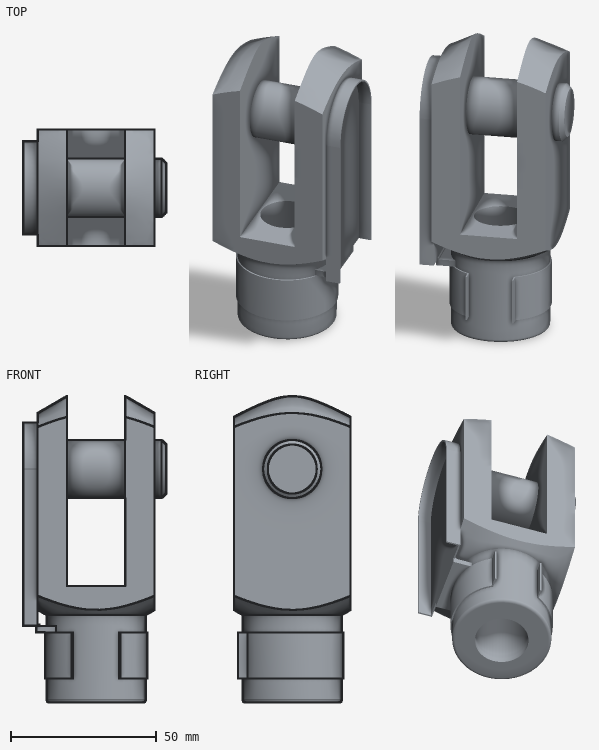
import cadquery as cq
import math

total_height = 105.0
body_width = 40.0
slot_width = 20.0
slot_floor_z = 40.0
cone_angle = math.radians(30)

neck_diameter = 34.0
neck_height = 30.0
neck_edge_fillet = 1.0
bore_diameter = 18.4

pin_diameter = 20.0
pin_z = 80.0
pin_end_x = 24.0
pin_chamfer = 1.6

sheet = 0.5
cover_width = 32.0
cover_outer_x = -25.0
cover_bottom_z = 26.2
tongue_width = 20.0
tongue_inner_x = -13.6
band_bottom_z = 8.2
band_top_z = 24.0
band_gap = 15.8
lug_tip_y = -18.6

half_body = body_width / 2
neck_radius = neck_diameter / 2
cover_depth = -half_body - cover_outer_x


def make_body():
    """Square fork trimmed by a coaxial turned profile, then slotted and bored."""
    slope = math.tan(cone_angle)
    rim_radius = body_width
    top_radius = slot_width / 2
    lower_rim_z = neck_height + (rim_radius - neck_radius) * slope
    upper_rim_z = total_height - (rim_radius - top_radius) * slope
    turned = (
        cq.Workplane("XZ")
        .moveTo(0, 0)
        .lineTo(neck_radius - neck_edge_fillet, 0)
        .radiusArc((neck_radius, neck_edge_fillet), -neck_edge_fillet)
        .lineTo(neck_radius, neck_height)
        .lineTo(rim_radius, lower_rim_z)
        .lineTo(rim_radius, upper_rim_z)
        .lineTo(top_radius, total_height)
        .lineTo(0, total_height)
        .close()
        .revolve(360, (0, 0, 0), (0, 1, 0))
    )
    square = cq.Workplane("XY").rect(body_width, body_width).extrude(total_height)
    slot = (
        cq.Workplane("XY", origin=(0, 0, slot_floor_z))
        .rect(slot_width, body_width)
        .extrude(total_height - slot_floor_z)
    )
    bore = cq.Workplane("XY").circle(bore_diameter / 2).extrude(slot_floor_z)
    return square.intersect(turned).cut(slot).cut(bore)


def make_pin():
    """Pin through both fork arms, chamfered at its free end."""
    return (
        cq.Workplane("YZ", origin=(-half_body, 0, pin_z))
        .circle(pin_diameter / 2)
        .extrude(pin_end_x + half_body)
        .faces(">X")
        .chamfer(pin_chamfer)
    )


def arched_plate(x, radius, depth):
    """Plate with a round top about the pin axis, extruded toward -X from x."""
    return (
        cq.Workplane("YZ", origin=(x, 0, 0))
        .moveTo(-radius, cover_bottom_z)
        .lineTo(-radius, pin_z)
        .threePointArc((0, pin_z + radius), (radius, pin_z))
        .lineTo(radius, cover_bottom_z)
        .close()
        .extrude(-depth)
    )


def make_cover():
    """Thin cover with an outward rim on its sides and top, and a tongue to the neck."""
    outer_radius = cover_width / 2
    outer = arched_plate(-half_body, outer_radius, cover_depth)
    recess = arched_plate(-half_body - sheet, outer_radius - sheet, cover_depth - sheet)
    tongue_length = half_body + sheet + tongue_inner_x
    tongue = (
        cq.Workplane("XY", origin=(tongue_inner_x - tongue_length / 2, 0, band_top_z))
        .rect(tongue_length, tongue_width)
        .extrude(cover_bottom_z - band_top_z)
    )
    joint = (
        cq.Workplane("XY", origin=(-half_body, 0, band_top_z))
        .rect(2 * sheet, tongue_width)
        .extrude(cover_bottom_z - band_top_z + sheet)
    )
    return outer.cut(recess).union(tongue).union(joint)


def make_band():
    """Band around the neck, open toward -Y, with a straight lug at each end."""
    height = band_top_z - band_bottom_z
    base = cq.Workplane("XY", origin=(0, 0, band_bottom_z))
    band_radius = neck_radius + sheet
    band = base.circle(band_radius).circle(neck_radius).extrude(height)
    gap = base.center(0, -band_radius / 2).rect(band_gap, band_radius).extrude(height)
    band = band.cut(gap)
    lug_root_y = -math.sqrt(neck_radius**2 - (band_gap / 2 + sheet) ** 2)
    for side in (-1, 1):
        lug = (
            base.center(side * (band_gap + sheet) / 2, (lug_root_y + lug_tip_y) / 2)
            .rect(sheet, lug_root_y - lug_tip_y)
            .extrude(height)
        )
        band = band.union(lug)
    return band


result = make_body().union(make_pin()).union(make_cover()).union(make_band())